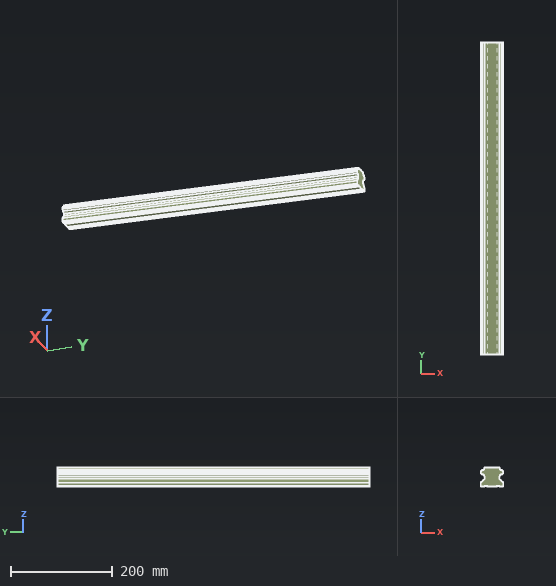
import cadquery as cq
import math

WIDTH = 45.0
LENGTH = 615.0
HEIGHT = 38.0
HALF_WIDTH = WIDTH / 2

HEAD_MID_Z = 28.3
TIP_FLAT = 2.9
FLANK_DROP = 3.1
TOP_HALF_WIDTH = 14.5
CORNER_CHAMFER = 1.0
GROOVE_SAG = 1.6

WEB_HALF_WIDTH = 14.3
FOOT_SLOPE_TOP_Z = 15.5
FOOT_SIDE_TOP_Z = 7.6
FOOT_CHAMFER = 1.5

RELIEF_INNER_X = 9.0
RELIEF_OUTER_X = 15.0
RELIEF_DEPTH = 1.0


def mirror_head(point):
    """Reflect an (x, z) point about the mid-plane of the head."""
    x, z = point
    return (x, 2 * HEAD_MID_Z - z)


def arc_middle(start, end, sag):
    """Middle of an arc falling outward from start to end and bulging in toward the web."""
    run = end[0] - start[0]
    drop = start[1] - end[1]
    chord = math.hypot(run, drop)
    middle_x = (start[0] + end[0]) / 2
    middle_z = (start[1] + end[1]) / 2
    return (middle_x - sag * drop / chord, middle_z - sag * run / chord)


def half_profile():
    """Closed cross-section of the +X half in XZ, from the top centre down the outside."""
    groove_start = (TOP_HALF_WIDTH + CORNER_CHAMFER, HEIGHT - CORNER_CHAMFER)
    tip = (HALF_WIDTH, HEAD_MID_Z + TIP_FLAT / 2)
    groove_end = (tip[0] - FLANK_DROP, tip[1] + FLANK_DROP)
    groove_middle = arc_middle(groove_start, groove_end, GROOVE_SAG)
    lower_groove_end = mirror_head(groove_start)

    web_and_foot = [
        (WEB_HALF_WIDTH, lower_groove_end[1]),
        (WEB_HALF_WIDTH, FOOT_SLOPE_TOP_Z),
        (HALF_WIDTH, FOOT_SIDE_TOP_Z),
        (HALF_WIDTH, FOOT_CHAMFER),
        (HALF_WIDTH - FOOT_CHAMFER, 0),
        (0, 0),
    ]

    profile = cq.Workplane("XZ").moveTo(0, HEIGHT).lineTo(TOP_HALF_WIDTH, HEIGHT)
    profile = profile.lineTo(*groove_start).threePointArc(groove_middle, groove_end)
    profile = profile.lineTo(*tip).lineTo(*mirror_head(tip)).lineTo(*mirror_head(groove_end))
    profile = profile.threePointArc(mirror_head(groove_middle), lower_groove_end)
    for point in web_and_foot:
        profile = profile.lineTo(*point)
    return profile.close()


def relief_channel():
    """Full-length rectangular channel on the +X side of the underside."""
    channel_width = RELIEF_OUTER_X - RELIEF_INNER_X
    channel = cq.Workplane("XY").box(channel_width, LENGTH, RELIEF_DEPTH, centered=(False, True, False))
    return channel.translate((RELIEF_INNER_X, 0, 0))


half_rail = half_profile().extrude(LENGTH / 2, both=True).cut(relief_channel())
result = half_rail.union(half_rail.mirror("YZ")).clean()